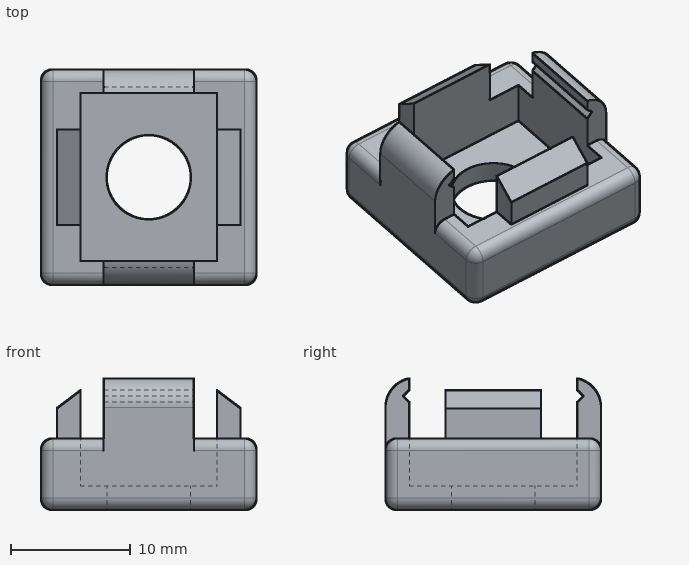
import cadquery as cq
import math

side = 18.0
base_height = 6.0
edge_radius = 1.0

pocket_x = 11.34
pocket_y = 14.0
floor_thickness = 2.0
hole_diameter = 7.0

clip_width = 7.5
clip_top = 11.0
clip_round_radius = 2.5
notch_depth = 0.5
notch_center_z = 9.5
notch_half_height = 0.5

tab_width = 8.0
tab_thickness = 2.0
tab_top = 10.0
tab_shoulder_z = 8.5


def make_base():
    block = cq.Workplane("XY").box(side, side, base_height, centered=(True, True, False))
    return block.edges().fillet(edge_radius)


def make_clip():
    """Clip on the +Y side: rounded outer back and a V notch on the inner face."""
    outer = side / 2
    inner = pocket_y / 2
    arc_center_y = outer - clip_round_radius
    end_angle = math.acos((inner - arc_center_y) / clip_round_radius)
    arc_center_z = clip_top - clip_round_radius * math.sin(end_angle)
    arc_middle = (
        arc_center_y + clip_round_radius * math.cos(end_angle / 2),
        arc_center_z + clip_round_radius * math.sin(end_angle / 2),
    )
    return (
        cq.Workplane("YZ")
        .moveTo(inner, floor_thickness)
        .lineTo(outer, floor_thickness)
        .lineTo(outer, arc_center_z)
        .threePointArc(arc_middle, (inner, clip_top))
        .lineTo(inner, notch_center_z + notch_half_height)
        .lineTo(inner + notch_depth, notch_center_z)
        .lineTo(inner, notch_center_z - notch_half_height)
        .close()
        .extrude(clip_width / 2, both=True)
    )


def make_tab():
    """Tab on the +X side: its top slopes down away from the pocket."""
    inner = pocket_x / 2
    outer = inner + tab_thickness
    profile = [
        (inner, floor_thickness),
        (outer, floor_thickness),
        (outer, tab_shoulder_z),
        (inner, tab_top),
    ]
    return cq.Workplane("XZ").polyline(profile).close().extrude(tab_width / 2, both=True)


body = make_base()
for feature, mirror_plane in ((make_clip(), "XZ"), (make_tab(), "YZ")):
    body = body.union(feature).union(feature.mirror(mirror_plane))

pocket = (
    cq.Workplane("XY")
    .workplane(offset=floor_thickness)
    .rect(pocket_x, pocket_y)
    .extrude(clip_top - floor_thickness)
)
hole = cq.Workplane("XY").circle(hole_diameter / 2).extrude(base_height)

result = body.cut(pocket).cut(hole)